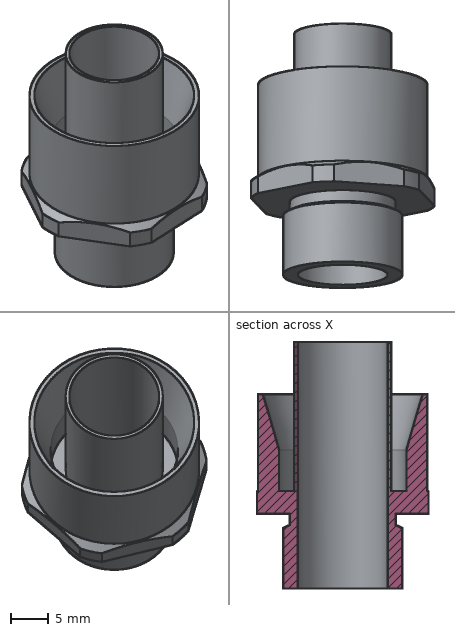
import cadquery as cq
import math

total_height = 33.0
thread_top = 8.1
neck_bottom = 8.5
hex_bottom = 10.0
corner_top = 12.3
hex_top = 13.07
socket_floor = hex_top
taper_bottom = 18.55
body_top = 26.0

bore_radius = 6.0
tube_radius = 6.5
neck_radius = 7.1
thread_radius = 8.0
socket_radius = 8.5
socket_mouth_radius = 10.7
body_radius = 11.35

hex_across_flats = 23.0
hex_across_corners = hex_across_flats / math.cos(math.pi / 6)
turned_corner_radius = 25.0 / 2


def revolve_profile(points):
    """Turn a closed (radius, height) outline around the Z axis."""
    return cq.Workplane("XZ").polyline(points).close().revolve(360, (0, 0), (0, 1))


def hex_collar():
    """Hexagonal ring with corners on X, rounded and chamfered by a turned envelope."""
    hexagon = (
        cq.Workplane("XY", origin=(0, 0, hex_bottom))
        .polygon(6, hex_across_corners)
        .extrude(hex_top - hex_bottom)
    )
    envelope = revolve_profile([
        (bore_radius, hex_bottom),
        (turned_corner_radius, hex_bottom),
        (turned_corner_radius, corner_top),
        (body_radius, hex_top),
        (bore_radius, hex_top),
    ])
    return hexagon.intersect(envelope)


fitting = revolve_profile([
    (bore_radius, 0),
    (thread_radius, 0),
    (thread_radius, thread_top),
    (neck_radius, neck_bottom),
    (neck_radius, hex_bottom),
    (body_radius, hex_bottom),
    (body_radius, body_top),
    (socket_mouth_radius, body_top),
    (socket_radius, taper_bottom),
    (socket_radius, socket_floor),
    (tube_radius, socket_floor),
    (tube_radius, total_height),
    (bore_radius, total_height),
])

result = fitting.union(hex_collar())